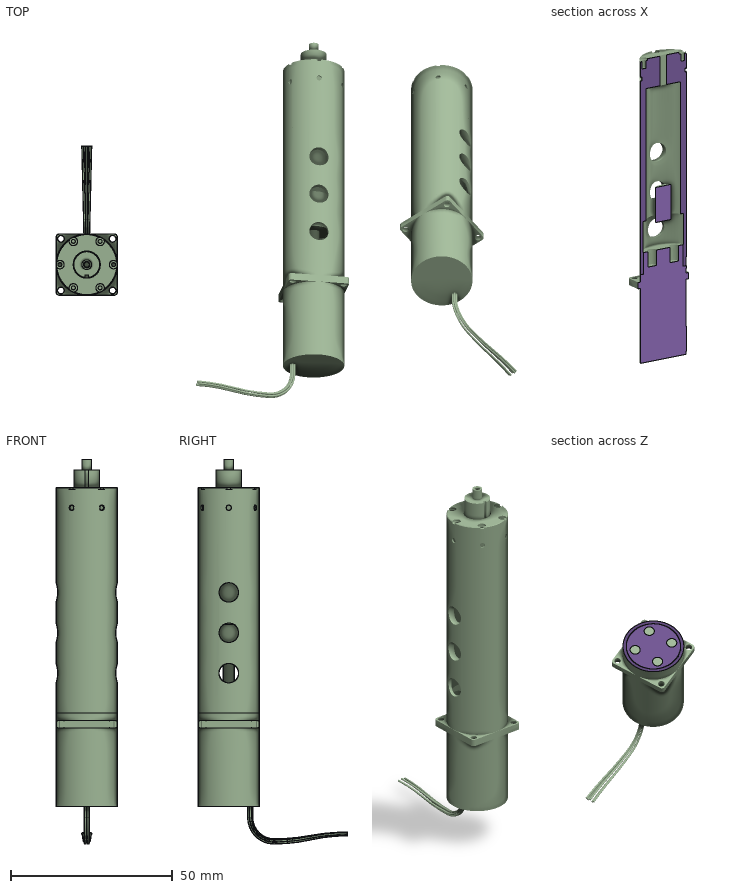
import cadquery as cq
import math

FLANGE_BOTTOM = 24.4
FLANGE_TOP = 26.6
COLLAR_TOP = 29.0
SPIGOT_TOP = 36.0
SPIGOT_BORE_TOP = 46.0
NUT_BOTTOM = 44.8
NUT_TOP = 56.4
CHAMBER_TOP = 89.0
CAP_TOP = 98.8
ROD_TOP = 104.2
TIP_TOP = 107.5

BODY_DIAMETER = 19.0
FLANGE_CORNER_RADIUS = 1.0
FLANGE_HOLE_DIAMETER = 2.0
FLANGE_HOLE_SPACING = 16.0

SPIGOT_DIAMETER = 17.0
SPIGOT_HOLE_DIAMETER = 3.0
SPIGOT_HOLE_CIRCLE_RADIUS = 5.8
SPIGOT_HOLE_DEPTH = 5.0
SPIGOT_HOLE_COUNT = 4
SPIGOT_HOLE_FIRST_ANGLE = 45

CHAMBER_DIAMETER = 15.0
CAP_CHAMFER = 0.2
ROD_CLEARANCE_DIAMETER = 8.4

WINDOW_DIAMETER = 6.0
WINDOW_PITCH = 12.5
LOWEST_WINDOW_HEIGHT = 41.3
WINDOW_COUNT = 3

CAP_HOLE_COUNT = 6
CAP_HOLE_CIRCLE_RADIUS = 8.3
CAP_POCKET_DIAMETER = 2.6
CAP_POCKET_DEPTH = 0.6
CAP_HOLE_DIAMETER = 1.22
CAP_HOLE_DEPTH = 3.0

SIDE_HOLE_DIAMETER = 1.6
SIDE_HOLE_HEIGHT = 92.5
SIDE_HOLE_DEPTH = 0.5

SCREW_DIAMETER = 3.5
NUT_DIAMETER = 10.0
ROD_DIAMETER = 8.0
TIP_DIAMETER = 3.0
TIP_HOLE_DIAMETER = 1.6
TIP_HOLE_DEPTH = 3.0
TIP_HOLE_CHAMFER = 0.2
KEYWAY_WIDTH = 1.0
KEYWAY_DEPTH = 0.8

WIRE_DIAMETER = 0.6
WIRE_COUNT = 5
BUNDLE_RADIUS = 0.58
LEAD_START_Y = 6.6
LEAD_LOWEST_Y = 14.0
LEAD_END_Y = 36.71
LEAD_LOWEST = -10.83
LEAD_END_HEIGHT = -8.5
FAN_RATIO = 2.3
FLATTENING_RATIO = 0.6
WIRE_INSERTION = 0.5


def cylinder(diameter, bottom, top):
    """Cylinder on the Z axis between two heights."""
    return cq.Workplane("XY").workplane(offset=bottom).circle(diameter / 2).extrude(top - bottom)


def blind_holes(diameter, depth, top, circle_radius, count, first_angle=0):
    """Cutters for a ring of equally spaced blind holes that go down from a face."""
    return (
        cq.Workplane("XY")
        .workplane(offset=top - depth)
        .polarArray(circle_radius, first_angle, 360, count)
        .circle(diameter / 2)
        .extrude(depth)
    )


def motor_with_flange():
    """Motor can with its square mounting flange and the round collar and spigot above it."""
    can = cylinder(BODY_DIAMETER, 0, COLLAR_TOP)
    flange = (
        cq.Workplane("XY")
        .workplane(offset=FLANGE_BOTTOM)
        .rect(BODY_DIAMETER, BODY_DIAMETER)
        .extrude(FLANGE_TOP - FLANGE_BOTTOM)
        .edges("|Z")
        .fillet(FLANGE_CORNER_RADIUS)
        .faces(">Z")
        .workplane()
        .rect(FLANGE_HOLE_SPACING, FLANGE_HOLE_SPACING, forConstruction=True)
        .vertices()
        .hole(FLANGE_HOLE_DIAMETER)
    )
    spigot_holes = blind_holes(
        SPIGOT_HOLE_DIAMETER,
        SPIGOT_HOLE_DEPTH,
        SPIGOT_TOP,
        SPIGOT_HOLE_CIRCLE_RADIUS,
        SPIGOT_HOLE_COUNT,
        SPIGOT_HOLE_FIRST_ANGLE,
    )
    spigot = cylinder(SPIGOT_DIAMETER, COLLAR_TOP, SPIGOT_TOP).cut(spigot_holes)
    return can.union(flange).union(spigot)


def windows():
    """Row of round cutters that pass through the tube along X."""
    heights = [LOWEST_WINDOW_HEIGHT + i * WINDOW_PITCH for i in range(WINDOW_COUNT)]
    return (
        cq.Workplane("YZ")
        .pushPoints([(0, height) for height in heights])
        .circle(WINDOW_DIAMETER / 2)
        .extrude(BODY_DIAMETER, both=True)
    )


def cap_screw_holes():
    """Ring of counterbored screw holes in the cap; the pockets break out through the tube side."""
    ring = (CAP_TOP, CAP_HOLE_CIRCLE_RADIUS, CAP_HOLE_COUNT)
    pockets = blind_holes(CAP_POCKET_DIAMETER, CAP_POCKET_DEPTH, *ring)
    return pockets.union(blind_holes(CAP_HOLE_DIAMETER, CAP_HOLE_DEPTH, *ring))


def cut_side_holes(tube):
    """Blind radial holes around the tube, in line with the cap screws."""
    drill = (
        cq.Workplane("YZ")
        .workplane(offset=BODY_DIAMETER / 2 - SIDE_HOLE_DEPTH)
        .center(0, SIDE_HOLE_HEIGHT)
        .circle(SIDE_HOLE_DIAMETER / 2)
        .extrude(BODY_DIAMETER)
    )
    for i in range(CAP_HOLE_COUNT):
        tube = tube.cut(drill.rotate((0, 0, 0), (0, 0, 1), i * 360 / CAP_HOLE_COUNT))
    return tube


def make_housing():
    """Windowed tube that sits on the motor collar, with a cap pierced for the rod."""
    tube = (
        cylinder(BODY_DIAMETER, COLLAR_TOP, CAP_TOP)
        .faces(">Z")
        .chamfer(CAP_CHAMFER)
        .cut(cylinder(CHAMBER_DIAMETER, SPIGOT_BORE_TOP, CHAMBER_TOP))
        .cut(cylinder(SPIGOT_DIAMETER, COLLAR_TOP, SPIGOT_BORE_TOP))
        .cut(cylinder(ROD_CLEARANCE_DIAMETER, CHAMBER_TOP, CAP_TOP))
        .cut(windows())
        .cut(cap_screw_holes())
    )
    return cut_side_holes(tube)


def lead_wire(index):
    """One wire: the wires leave the motor on a circle and fan out into a flat row at the free end."""
    angle = math.pi / 2 + index * 2 * math.pi / WIRE_COUNT
    across = BUNDLE_RADIUS * math.cos(angle)
    lift = BUNDLE_RADIUS * math.sin(angle)

    start_y = LEAD_START_Y + lift
    run = LEAD_END_Y - start_y
    bend_radius = LEAD_LOWEST_Y - start_y
    lowest = LEAD_LOWEST + lift
    end_height = LEAD_END_HEIGHT + lift * FLATTENING_RATIO
    middle_of_s = ((bend_radius + run) / 2, (lowest + end_height) / 2)

    fan_angle = math.atan2(across * (FAN_RATIO - 1), run)
    heading = cq.Vector(math.sin(fan_angle), math.cos(fan_angle), 0)
    upright = cq.Plane(origin=(across, start_y, 0), xDir=heading, normal=heading.cross(cq.Vector(0, 0, 1)))
    path = (
        cq.Workplane(upright)
        .moveTo(0, WIRE_INSERTION)
        .lineTo(0, lowest + bend_radius)
        .tangentArcPoint((bend_radius, lowest), relative=False)
        .tangentArcPoint(middle_of_s, relative=False)
        .tangentArcPoint((run, end_height), relative=False)
    )
    start = (across, start_y, WIRE_INSERTION)
    return cq.Workplane("XY", origin=start).circle(WIRE_DIAMETER / 2).sweep(path)


def ram():
    """Lead screw with its nut, keyed rod and drilled tip, standing on the motor spigot."""
    keyway = (
        cq.Workplane("XY")
        .workplane(offset=NUT_TOP)
        .center(0, -ROD_DIAMETER / 2)
        .rect(KEYWAY_WIDTH, 2 * KEYWAY_DEPTH)
        .extrude(ROD_TOP - NUT_TOP)
    )
    tip = cylinder(TIP_DIAMETER, ROD_TOP, TIP_TOP).cut(
        cylinder(TIP_HOLE_DIAMETER, TIP_TOP - TIP_HOLE_DEPTH, TIP_TOP)
    )
    tip_hole_rim = cq.selectors.RadiusNthSelector(0)
    tip = tip.faces(">Z").edges(tip_hole_rim).chamfer(TIP_HOLE_CHAMFER)
    return (
        cylinder(SCREW_DIAMETER, SPIGOT_TOP, NUT_BOTTOM)
        .union(cylinder(NUT_DIAMETER, NUT_BOTTOM, NUT_TOP))
        .union(cylinder(ROD_DIAMETER, NUT_TOP, ROD_TOP).cut(keyway))
        .union(tip)
    )


def make_drive():
    """Motor with its flange, the ram it drives and its leads."""
    drive = motor_with_flange().union(ram())
    for i in range(WIRE_COUNT):
        drive = drive.union(lead_wire(i))
    return drive


drive = make_drive()
housing = make_housing()

result = cq.Compound.makeCompound([drive.val(), housing.val()])